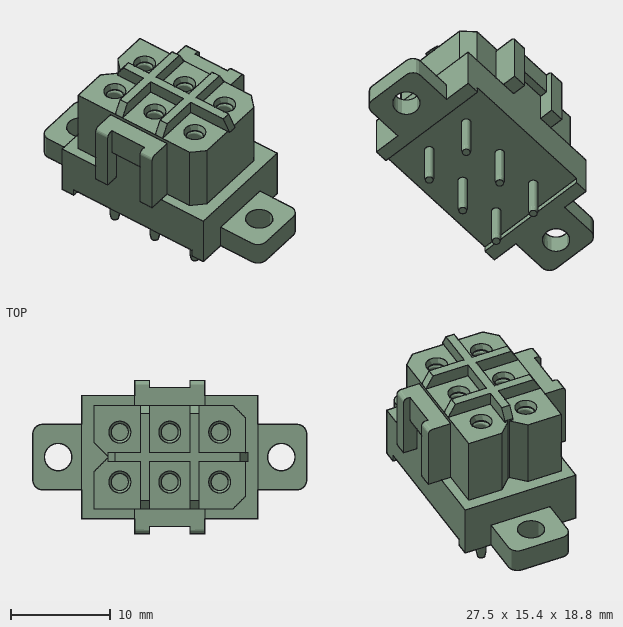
import cadquery as cq
import math


PITCH = 5.0
COLUMNS = 3
ROWS = 2

BASE_LENGTH = 17.65
BASE_WIDTH = 12.4
BASE_TOP = 5.58
RELIEF_LENGTH = 14.8
RELIEF_DEPTH = 0.75

OVERALL_LENGTH = 27.5
FLANGE_WIDTH = 6.6
FLANGE_THICKNESS = 2.55
FLANGE_CORNER_RADIUS = 1.02
FLANGE_HOLE_SPACING = 22.38
FLANGE_HOLE_DIAMETER = 2.72

BLOCK_LENGTH = 15.18
BLOCK_WIDTH = 10.37
BLOCK_TOP = 12.92
BLOCK_CHAMFER = 1.25
KEY_MOUTH_WIDTH = 2.92
KEY_FLOOR_WIDTH = 0.16
KEY_FLOOR_X = (KEY_MOUTH_WIDTH - KEY_FLOOR_WIDTH - BLOCK_LENGTH) / 2

RIB_THICKNESS = 0.9
RIB_TOP = 14.33
RIB_END_ANGLE = 30.0
LONG_RIB_START = -6.32
LONG_RIB_END = 7.85

LATCH_LENGTH = 7.07
LATCH_REACH = 7.7
LATCH_TOP = 12.55
LATCH_EDGE_RADIUS = 0.5
SLOT_LENGTH = 4.05
CATCH_REACH = 6.98
CATCH_BOTTOM = 9.55

BORE_RADIUS = 0.85
MOUTH_RADIUS = 0.25
BARREL_RADIUS = BORE_RADIUS + MOUTH_RADIUS
FUNNEL_TOP_RADIUS = 1.1
FUNNEL_DEPTH = 0.58
BARREL_TOP = BLOCK_TOP - 0.9
BARREL_BOTTOM = BASE_TOP
BORE_FLOOR_THICKNESS = 0.55
TAIL_RADIUS = 0.5
TAIL_TIP = -4.48
TIP_LENGTH = 0.58
TIP_RADIUS = 0.38


def block_between(x_size, y_range, z_range):
    """Box centred on X, spanning the given Y and Z ranges."""
    return cq.Workplane("XY").box(
        x_size, y_range[1] - y_range[0], z_range[1] - z_range[0], centered=(True, False, False)
    ).translate((0, y_range[0], z_range[0]))


def make_base():
    half_width = BASE_WIDTH / 2
    base = block_between(BASE_LENGTH, (-half_width, half_width), (0, BASE_TOP))
    relief = block_between(RELIEF_LENGTH, (-half_width, half_width), (0, RELIEF_DEPTH))
    return base.cut(relief)


def make_flange(side):
    """Mounting ear at the end of the base; side is -1 or +1 along X."""
    length = (OVERALL_LENGTH - BASE_LENGTH) / 2
    return (
        cq.Workplane("XY")
        .center(side * (BASE_LENGTH + length) / 2, 0)
        .rect(length, FLANGE_WIDTH)
        .extrude(FLANGE_THICKNESS)
        .edges("|Z").edges(">X" if side > 0 else "<X")
        .fillet(FLANGE_CORNER_RADIUS)
    )


def make_flange_holes():
    return (
        cq.Workplane("XY")
        .pushPoints([(-FLANGE_HOLE_SPACING / 2, 0), (FLANGE_HOLE_SPACING / 2, 0)])
        .circle(FLANGE_HOLE_DIAMETER / 2)
        .extrude(FLANGE_THICKNESS)
    )


def make_plug_block():
    return (
        cq.Workplane("XY")
        .workplane(offset=BASE_TOP)
        .rect(BLOCK_LENGTH, BLOCK_WIDTH)
        .extrude(BLOCK_TOP - BASE_TOP)
        .edges("|Z and >X")
        .chamfer(BLOCK_CHAMFER)
    )


def make_rib(start, end):
    """Trapezoidal rib along X from start to end, centred on Y."""
    end_slope = (RIB_TOP - BLOCK_TOP) * math.tan(math.radians(RIB_END_ANGLE))
    return (
        cq.Workplane("XZ")
        .polyline([
            (start, BLOCK_TOP),
            (end, BLOCK_TOP),
            (end - end_slope, RIB_TOP),
            (start + end_slope, RIB_TOP),
        ])
        .close()
        .extrude(RIB_THICKNESS / 2, both=True)
    )


def make_long_rib():
    """Rib along the block, its -X end trimmed flush with the notch floor."""
    rib = make_rib(LONG_RIB_START, LONG_RIB_END)
    trim = (
        cq.Workplane("XY")
        .workplane(offset=BLOCK_TOP)
        .center((LONG_RIB_START + KEY_FLOOR_X) / 2, 0)
        .rect(KEY_FLOOR_X - LONG_RIB_START, RIB_THICKNESS)
        .extrude(RIB_TOP - BLOCK_TOP)
    )
    return rib.cut(trim)


def make_cross_rib(x):
    """Rib across the full width of the block, between two contact columns."""
    rib = make_rib(-BLOCK_WIDTH / 2, BLOCK_WIDTH / 2)
    return rib.rotate((0, 0, 0), (0, 0, 1), 90).translate((x, 0, 0))


def make_key_notch():
    """Polarising notch down the full height of the block."""
    mouth_x = -BLOCK_LENGTH / 2
    return (
        cq.Workplane("XY")
        .workplane(offset=BASE_TOP)
        .polyline([
            (mouth_x, -KEY_MOUTH_WIDTH / 2),
            (KEY_FLOOR_X, -KEY_FLOOR_WIDTH / 2),
            (KEY_FLOOR_X, KEY_FLOOR_WIDTH / 2),
            (mouth_x, KEY_MOUTH_WIDTH / 2),
        ])
        .close()
        .extrude(BLOCK_TOP - BASE_TOP)
    )


def make_latch():
    """Latch on the -Y side: two legs with an undercut catch between them."""
    inner_y = -BLOCK_WIDTH / 2
    latch = block_between(LATCH_LENGTH, (-LATCH_REACH, inner_y), (BASE_TOP, LATCH_TOP))
    latch = latch.edges(">Z and <Y").fillet(LATCH_EDGE_RADIUS)
    slot = block_between(SLOT_LENGTH, (-LATCH_REACH, -CATCH_REACH), (BASE_TOP, LATCH_TOP))
    undercut = block_between(SLOT_LENGTH, (-LATCH_REACH, -BASE_WIDTH / 2), (BASE_TOP, CATCH_BOTTOM))
    return latch.cut(slot).cut(undercut)


def contact_places():
    return [
        ((column - (COLUMNS - 1) / 2) * PITCH, (row - (ROWS - 1) / 2) * PITCH)
        for column in range(COLUMNS)
        for row in range(ROWS)
    ]


def make_contact_cavity(x, y):
    """Stepped round hole: tapered lead-in with a retaining lip, barrel hole and tail hole."""
    profile = (
        cq.Workplane("XZ")
        .polyline([
            (0, 0),
            (TAIL_RADIUS, 0),
            (TAIL_RADIUS, BARREL_BOTTOM),
            (BARREL_RADIUS, BARREL_BOTTOM),
            (BARREL_RADIUS, BLOCK_TOP - FUNNEL_DEPTH),
            (BORE_RADIUS, BLOCK_TOP - FUNNEL_DEPTH),
            (FUNNEL_TOP_RADIUS, BLOCK_TOP),
            (0, BLOCK_TOP),
        ])
        .close()
    )
    return profile.revolve(360, (0, 0, 0), (0, 1, 0)).translate((x, y, 0))


def make_housing():
    housing = make_base().union(make_plug_block())
    for side in (-1, 1):
        housing = housing.union(make_flange(side))
    housing = housing.cut(make_flange_holes())

    housing = housing.union(make_long_rib())
    for gap in range(COLUMNS - 1):
        housing = housing.union(make_cross_rib((gap - (COLUMNS - 2) / 2) * PITCH))
    housing = housing.cut(make_key_notch())

    latch = make_latch()
    housing = housing.union(latch).union(latch.mirror("XZ"))

    for x, y in contact_places():
        housing = housing.cut(make_contact_cavity(x, y))
    return housing


def make_contact(x, y):
    """Turned contact: socket barrel with a rounded mouth, and a tapered solder tail."""
    bore_floor = BARREL_BOTTOM + BORE_FLOOR_THICKNESS
    profile = (
        cq.Workplane("XZ")
        .moveTo(0, TAIL_TIP)
        .lineTo(TIP_RADIUS, TAIL_TIP)
        .lineTo(TAIL_RADIUS, TAIL_TIP + TIP_LENGTH)
        .lineTo(TAIL_RADIUS, BARREL_BOTTOM)
        .lineTo(BARREL_RADIUS, BARREL_BOTTOM)
        .lineTo(BARREL_RADIUS, BARREL_TOP)
        .radiusArc((BORE_RADIUS, BARREL_TOP - MOUTH_RADIUS), -MOUTH_RADIUS)
        .lineTo(BORE_RADIUS, bore_floor)
        .lineTo(0, bore_floor)
        .close()
    )
    return profile.revolve(360, (0, 0, 0), (0, 1, 0)).translate((x, y, 0))


housing = make_housing()
contacts = [make_contact(x, y) for x, y in contact_places()]

result = cq.Compound.makeCompound([*housing.solids().vals(), *[contact.val() for contact in contacts]])